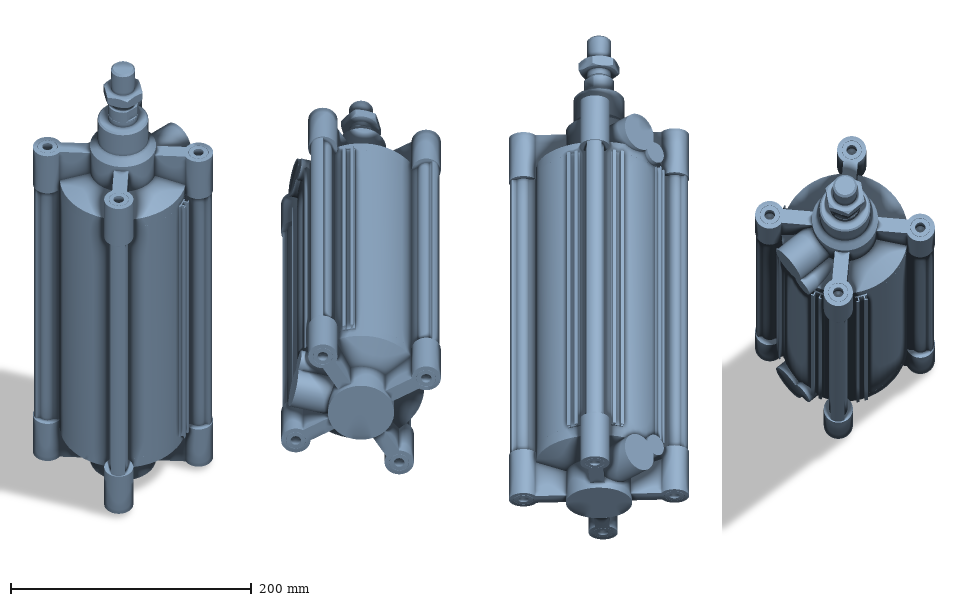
import cadquery as cq
import math


overall_width = 113.0
overall_height = 433.0
neck_overhang = 4.8
cover_height = 41.0
barrel_bottom = neck_overhang + cover_height
barrel_top = 301.5
barrel_length = barrel_top - barrel_bottom

barrel_dia = 105.2
neck_dia = 55.0
flange_height = 9.5
cone_height = 9.0
boss_dia = 24.2
boss_offset = (overall_width - boss_dia) / 2
boss_radius_from_axis = boss_offset * math.sqrt(2)
rib_width = 12.0
screw_head_dia = 16.0
screw_seat_dia = 16.5
screw_head_height = 4.5
screw_hole_dia = 8.5
screw_hole_depth = 8.5
corner_angles = (45, 135, 225, 315)

port_dia = 32.0
port_x = 5.5
port_height = 22.0
cushion_dia = 18.0
cushion_x = -12.5
cushion_height = cushion_dia / 2

nose_dia = 42.0
nose_top = 378.0
nose_chamfer = 1.5
shoulder_height = (neck_dia - nose_dia) / 2

column_dia = 15.0
web_width = 11.5
fin_root_width = 10.0
fin_tip_width = 11.5
fin_tip_dia = 19.0
fin_reach = 11.3

rail_angles = (25.5, 64.5, 115.5, 154.5)
rail_base_width = 10.5
rail_base_radius = 53.5
rail_tip_radius = 57.5
rail_slot_width = 4.5
rail_post_width = 6.0
rail_lip_width = 9.5
rail_lip_thickness = 1.0

rod_dia = 25.0
wrench_dia = 24.5
wrench_across_flats = 22.0
wrench_bottom = 383.0
flat_bottom = 384.0
wrench_top = 394.0
undercut_dia = 19.0
undercut_top = 396.5
thread_dia = 20.0
thread_chamfer = 1.7

nut_sides = 6
nut_across_flats = 30.0
nut_bottom = 402.0
nut_height = 9.0
nut_chamfer_angle = 30


def disc(diameter, bottom, top):
    """Upright cylinder on the Z axis between two heights."""
    return cq.Workplane("XY").workplane(offset=bottom).circle(diameter / 2).extrude(top - bottom)


def revolved(profile):
    """Solid of revolution about Z from (radius, height) points."""
    return cq.Workplane("XZ").polyline(profile).close().revolve(360, (0, 0, 0), (0, 1, 0))


def at_angle(shape, angle):
    """Shape turned about Z by an angle in degrees."""
    return shape.rotate((0, 0, 0), (0, 0, 1), angle)


def make_side_boss(diameter, x, height):
    """Horizontal boss from the cover centre out to the +Y outer face."""
    return (
        cq.Workplane("XZ")
        .center(x, height)
        .circle(diameter / 2)
        .extrude(-overall_width / 2)
    )


def make_cover():
    """End cover with flush corner screws, its barrel face at Z = 0 and its neck pointing up."""
    neck_top = cover_height + neck_overhang
    cone_top = flange_height + cone_height
    cover = revolved([
        (0, 0),
        (barrel_dia / 2, 0),
        (barrel_dia / 2, flange_height),
        (neck_dia / 2, cone_top),
        (neck_dia / 2, neck_top),
        (0, neck_top),
    ])
    boss = disc(boss_dia, 0, cover_height).translate((boss_radius_from_axis, 0, 0))
    rib = cq.Workplane("XY").box(
        boss_radius_from_axis, rib_width, cover_height, centered=(False, True, False)
    )
    head_bottom = cover_height - screw_head_height
    head_gap = disc(screw_seat_dia, head_bottom, cover_height).cut(
        disc(screw_head_dia, head_bottom, cover_height)
    )
    hole = disc(screw_hole_dia, cover_height - screw_hole_depth, cover_height)
    head_gap = head_gap.translate((boss_radius_from_axis, 0, 0))
    hole = hole.translate((boss_radius_from_axis, 0, 0))
    for angle in corner_angles:
        cover = cover.union(at_angle(rib, angle)).union(at_angle(boss, angle))
    for angle in corner_angles:
        cover = cover.cut(at_angle(head_gap, angle)).cut(at_angle(hole, angle))
    cover = cover.union(make_side_boss(port_dia, port_x, port_height))
    return cover.union(make_side_boss(cushion_dia, cushion_x, cushion_height))


def make_lower_cover():
    """Cover turned over so that its neck points down to Z = 0."""
    return make_cover().mirror("XY").translate((0, 0, barrel_bottom))


def make_upper_cover():
    """Cover with a conical shoulder, a guide nose and a through bore for the rod."""
    cover = make_cover().translate((0, 0, barrel_top))
    shoulder_bottom = barrel_top + cover_height + neck_overhang
    shoulder = revolved([
        (0, shoulder_bottom),
        (neck_dia / 2, shoulder_bottom),
        (nose_dia / 2, shoulder_bottom + shoulder_height),
        (0, shoulder_bottom + shoulder_height),
    ])
    nose = disc(nose_dia, shoulder_bottom, nose_top).faces(">Z").chamfer(nose_chamfer)
    return cover.union(shoulder).union(nose).cut(disc(rod_dia, barrel_top, nose_top))


def make_column():
    """Web, round column and flared, round-tipped fin of a corner, laid along the +X axis."""
    web = cq.Workplane("XY").box(
        boss_radius_from_axis, web_width, barrel_length, centered=(False, True, False)
    )
    column = disc(column_dia, 0, barrel_length)
    tip_radius = fin_tip_dia / 2
    half_root = fin_root_width / 2
    half_tip = fin_tip_width / 2
    tip_corner_x = fin_reach - tip_radius + math.sqrt(tip_radius**2 - half_tip**2)
    fin = (
        cq.Workplane("XY")
        .moveTo(0, -half_root)
        .lineTo(column_dia / 2, -half_root)
        .lineTo(tip_corner_x, -half_tip)
        .threePointArc((fin_reach, 0), (tip_corner_x, half_tip))
        .lineTo(column_dia / 2, half_root)
        .lineTo(0, half_root)
        .close()
        .extrude(barrel_length)
    )
    return web.union(column.union(fin).translate((boss_radius_from_axis, 0, 0)))


def make_rail():
    """Slotted rail on the +X side with lips that overhang away from its slot."""

    def slab(inner, outer, width):
        return cq.Workplane("XY").box(
            outer - inner, width, barrel_length, centered=(False, True, False)
        ).translate((inner, 0, 0))

    base = slab(0, rail_base_radius, rail_base_width)
    post = slab(rail_base_radius, rail_tip_radius, rail_post_width)
    lips = slab(rail_tip_radius - rail_lip_thickness, rail_tip_radius, rail_lip_width)
    slot = slab(rail_base_radius, rail_tip_radius, rail_slot_width)
    return base.union(post).union(lips).cut(slot)


def make_barrel():
    """Solid round body with four corner columns and four sensor rails."""
    barrel = disc(barrel_dia, 0, barrel_length)
    for angle in corner_angles:
        barrel = barrel.union(at_angle(make_column(), angle))
    for angle in rail_angles:
        barrel = barrel.union(at_angle(make_rail(), angle))
    return barrel.translate((0, 0, barrel_bottom))


def make_piston_rod():
    """Rod with a wrench section flattened on its +X and -X sides, an undercut and a thread."""
    flats = (
        cq.Workplane("XY")
        .workplane(offset=flat_bottom)
        .rect(wrench_across_flats, wrench_dia)
        .extrude(wrench_top - flat_bottom)
    )
    collar = disc(wrench_dia, wrench_bottom, flat_bottom)
    wrench_section = disc(wrench_dia, flat_bottom, wrench_top).intersect(flats).union(collar)
    thread = disc(thread_dia, undercut_top, overall_height).faces(">Z").chamfer(thread_chamfer)
    return (
        disc(rod_dia, barrel_top, wrench_bottom)
        .union(wrench_section)
        .union(disc(undercut_dia, wrench_top, undercut_top))
        .union(thread)
    )


def make_lock_nut():
    """Hexagon with flats facing +X and -X, both ends chamfered down to the flats."""
    half_side_angle = 180 / nut_sides
    flat_radius = nut_across_flats / 2
    corner_radius = flat_radius / math.cos(math.radians(half_side_angle))
    chamfer_height = (corner_radius - flat_radius) * math.tan(math.radians(nut_chamfer_angle))
    hexagon = (
        cq.Workplane("XY")
        .polygon(nut_sides, 2 * corner_radius)
        .extrude(nut_height)
    )
    chamfered_blank = revolved([
        (0, 0),
        (flat_radius, 0),
        (corner_radius, chamfer_height),
        (corner_radius, nut_height - chamfer_height),
        (flat_radius, nut_height),
        (0, nut_height),
    ])
    bore = disc(thread_dia, 0, nut_height)
    nut = at_angle(hexagon, half_side_angle).intersect(chamfered_blank).cut(bore)
    return nut.translate((0, 0, nut_bottom))


barrel = make_barrel()
lower_cover = make_lower_cover()
upper_cover = make_upper_cover()
piston_rod = make_piston_rod()
lock_nut = make_lock_nut()

result = cq.Compound.makeCompound([
    barrel.val(),
    lower_cover.val(),
    upper_cover.val(),
    piston_rod.val(),
    lock_nut.val(),
])